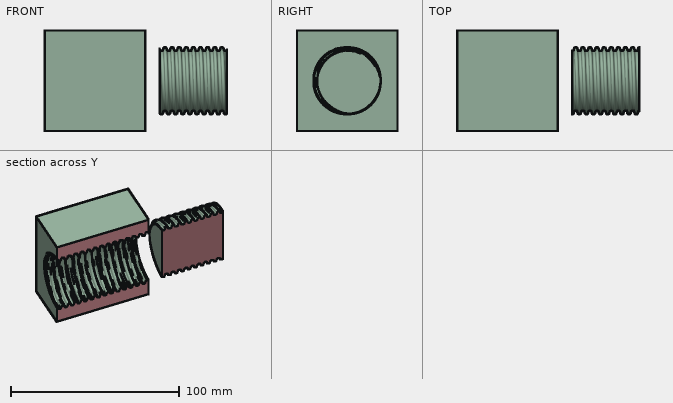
import cadquery as cq
import math

BLOCK_SIDE = 60.0
THREAD_DIAMETER = 40.0
PITCH = 4.2
STUD_LENGTH = 40.0
STUD_GAP = 2 * PITCH

FLANK_ANGLE = math.radians(15)
THREAD_DEPTH = PITCH / 2
PITCH_RADIUS = (THREAD_DIAMETER - THREAD_DEPTH) / 2
CREST_CLEARANCE = 0.05 * PITCH
STUD_CREST_ANGLE = 180.0
STUD_START = BLOCK_SIDE + STUD_GAP
POINTS_PER_SPAN = 8

BLOCK_CREST_ANGLE = STUD_CREST_ANGLE - 360 * STUD_START / PITCH


def round_radius(height):
    """Radius of the arc tangent to both flanks, its tip at this height from the pitch line."""
    flank_apex = PITCH / (4 * math.tan(FLANK_ANGLE))
    return (flank_apex - height) / (1 / math.sin(FLANK_ANGLE) - 1)


def lobe_height(offset, tip_height):
    """Height of a rounded tip above the pitch line, at an axial offset from its middle."""
    radius = round_radius(tip_height)
    if offset <= radius * math.cos(FLANK_ANGLE):
        return tip_height - radius + math.sqrt(radius**2 - offset**2)
    return (PITCH / 4 - offset) / math.tan(FLANK_ANGLE)


def thread_radius(offset, crest, root):
    """Radius of the thread at an axial offset of up to half a pitch from the crest."""
    if abs(offset) <= PITCH / 4:
        return PITCH_RADIUS + lobe_height(abs(offset), crest)
    return PITCH_RADIUS - lobe_height(PITCH / 2 - abs(offset), root)


def threaded_rod(length, crest, root, crest_angle):
    """Threaded rod along +X from X = 0, made by twisting its cross-section."""
    crest_edge = round_radius(crest) * math.cos(FLANK_ANGLE)
    root_edge = PITCH / 2 - round_radius(root) * math.cos(FLANK_ANGLE)
    joints = [-crest_edge, crest_edge, root_edge, PITCH - root_edge, PITCH - crest_edge]

    def section_point(offset):
        angle = math.radians(crest_angle) - 2 * math.pi * offset / PITCH
        nearest = offset - PITCH * round(offset / PITCH)
        radius = thread_radius(nearest, crest, root)
        return (radius * math.cos(angle), radius * math.sin(angle))

    offsets = []
    for start, end in zip(joints, joints[1:]):
        step = (end - start) / POINTS_PER_SPAN
        offsets += [start + i * step for i in range(POINTS_PER_SPAN)]
    points = [section_point(offset) for offset in offsets]
    section = cq.Workplane("YZ").spline(points, periodic=True).wire()
    return section.twistExtrude(length, 360 * length / PITCH)


def make_block():
    """Cube with a threaded hole right through along X."""
    cube = cq.Workplane("YZ").rect(BLOCK_SIDE, BLOCK_SIDE).extrude(BLOCK_SIDE)
    hole = threaded_rod(
        BLOCK_SIDE,
        THREAD_DEPTH / 2 + CREST_CLEARANCE,
        THREAD_DEPTH / 2 - CREST_CLEARANCE,
        BLOCK_CREST_ANGLE,
    )
    return cube.cut(hole).solids()


def make_stud():
    """Threaded stud on the hole's axis, clear of the block."""
    stud = threaded_rod(STUD_LENGTH, THREAD_DEPTH / 2, THREAD_DEPTH / 2, STUD_CREST_ANGLE)
    return stud.translate((STUD_START, 0, 0))


block = make_block()
stud = make_stud()

result = cq.Compound.makeCompound([block.val(), stud.val()])